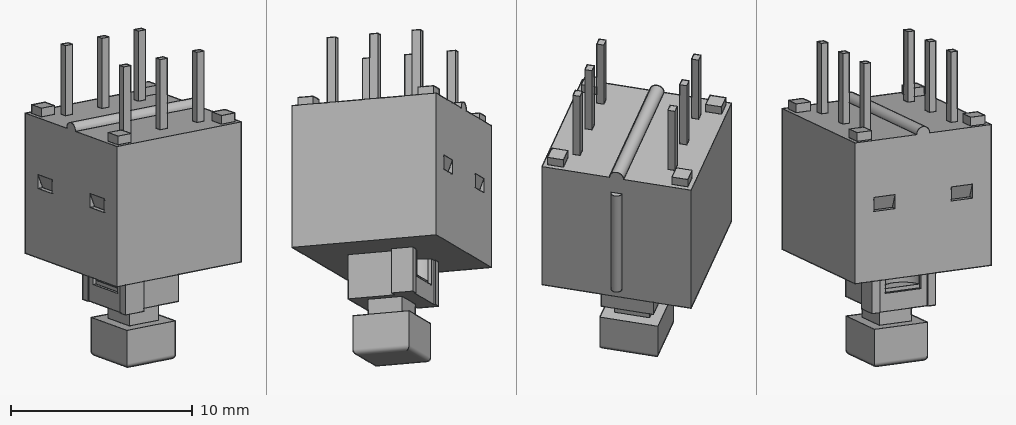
import cadquery as cq


BUTTON_HEIGHT = 2.2
STEM_HEIGHT = 1.01
COLLAR_HEIGHT = 2.5
HOUSING_HEIGHT = 8.0
PIN_LENGTH = 4.0

STEM_Z = BUTTON_HEIGHT
COLLAR_Z = STEM_Z + STEM_HEIGHT
HOUSING_Z = COLLAR_Z + COLLAR_HEIGHT
HOUSING_TOP = HOUSING_Z + HOUSING_HEIGHT

HOUSING_WIDTH = 8.5
HOUSING_FRONT = -HOUSING_WIDTH / 2
HOUSING_BACK = HOUSING_WIDTH / 2
TOP_RIB_RADIUS = 0.4
BACK_RIB_RADIUS = 0.3
BACK_RIB_LENGTH = 6.5
BACK_RIB_TOP_GAP = 1.0

WINDOW_WIDTH = 1.31
WINDOW_HEIGHT = 0.8
WINDOW_DEPTH = 0.32
WINDOW_OFFSET = 2.4
WINDOW_SILL = 3.96

STANDOFF_SIZE = 0.9
STANDOFF_HEIGHT = 0.5
STANDOFF_PITCH = 7.08
PIN_WIDTH = 0.4
PIN_DEPTH = 0.5
PIN_ROW_SPACING = 5.4
PIN_PITCH = 2.5
PIN_SHIFT = -0.05

COLLAR_WIDTH = 3.96
COLLAR_DEPTH = 4.0
COLLAR_FRONT = -COLLAR_DEPTH / 2
EAR_THICKNESS = 0.5
EAR_DEPTH = 1.25
CORE_WIDTH = COLLAR_WIDTH - 2 * EAR_THICKNESS
CORE_SETBACK = 0.09
CORE_DEPTH = COLLAR_DEPTH - CORE_SETBACK
CORE_FRONT = COLLAR_FRONT + CORE_SETBACK

RECESS_RADIUS = 1.12
RECESS_HEIGHT = 1.25
LEDGE_HEIGHT = 0.21
LEDGE_SETBACK = 0.2

STEM_WIDTH = 2.0
BUTTON_WIDTH = 3.31
BUTTON_ROUNDING = 0.27


def block(width, depth, height, bottom, x=0, y=0):
    """Box centred at (x, y), standing on the given level."""
    base = cq.Workplane("XY", origin=(x, y, bottom))
    return base.box(width, depth, height, centered=(True, True, False))


def make_housing():
    housing = block(HOUSING_WIDTH, HOUSING_WIDTH, HOUSING_HEIGHT, HOUSING_Z)
    top_rib = (
        cq.Workplane("XZ", origin=(0, HOUSING_BACK, HOUSING_TOP))
        .circle(TOP_RIB_RADIUS)
        .extrude(HOUSING_WIDTH)
    )
    back_rib_bottom = HOUSING_TOP - BACK_RIB_TOP_GAP - BACK_RIB_LENGTH
    back_rib = (
        cq.Workplane("XY", origin=(0, HOUSING_BACK, back_rib_bottom))
        .circle(BACK_RIB_RADIUS)
        .extrude(BACK_RIB_LENGTH)
    )
    return housing.union(top_rib).union(back_rib)


def make_window(x):
    """Wedge with a flat sill and a back that slopes out to the front face at the top."""
    return (
        cq.Workplane("YZ", origin=(x, HOUSING_FRONT, HOUSING_Z + WINDOW_SILL))
        .polyline([(0, 0), (WINDOW_DEPTH, 0), (0, WINDOW_HEIGHT)])
        .close()
        .extrude(WINDOW_WIDTH / 2, both=True)
    )


def make_collar():
    core_center = CORE_FRONT + CORE_DEPTH / 2
    collar = block(CORE_WIDTH, CORE_DEPTH, COLLAR_HEIGHT, COLLAR_Z, y=core_center)
    recess_z = HOUSING_Z - RECESS_HEIGHT
    recess = cq.Workplane("XY", origin=(0, CORE_FRONT, recess_z)).circle(RECESS_RADIUS).extrude(RECESS_HEIGHT)
    ledge = block(
        2 * RECESS_RADIUS,
        2 * LEDGE_SETBACK,
        RECESS_HEIGHT + LEDGE_HEIGHT,
        recess_z - LEDGE_HEIGHT,
        y=CORE_FRONT,
    )
    collar = collar.cut(recess).cut(ledge)
    for side in (-1, 1):
        ear_x = side * (COLLAR_WIDTH - EAR_THICKNESS) / 2
        ear_y = COLLAR_FRONT + EAR_DEPTH / 2
        collar = collar.union(block(EAR_THICKNESS, EAR_DEPTH, COLLAR_HEIGHT, COLLAR_Z, ear_x, ear_y))
    return collar


def make_button():
    button = block(BUTTON_WIDTH, BUTTON_WIDTH, BUTTON_HEIGHT, 0).faces("<Z").edges().fillet(BUTTON_ROUNDING)
    return button.union(block(STEM_WIDTH, STEM_WIDTH, STEM_HEIGHT, STEM_Z))


result = make_housing().union(make_collar()).union(make_button())

for side in (-1, 1):
    result = result.cut(make_window(side * WINDOW_OFFSET))

    for end in (-1, 1):
        standoff_x = side * STANDOFF_PITCH / 2
        standoff_y = end * STANDOFF_PITCH / 2
        standoff = block(STANDOFF_SIZE, STANDOFF_SIZE, STANDOFF_HEIGHT, HOUSING_TOP, standoff_x, standoff_y)
        result = result.union(standoff)

    for step in (-1, 0, 1):
        pin_x = side * PIN_ROW_SPACING / 2
        pin_y = step * PIN_PITCH + PIN_SHIFT
        result = result.union(block(PIN_WIDTH, PIN_DEPTH, PIN_LENGTH, HOUSING_TOP, pin_x, pin_y))